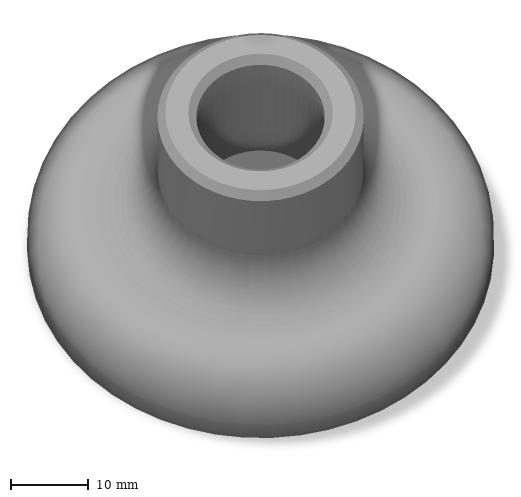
import cadquery as cq

base_diameter = 60.0
total_height = 30.0

base_height = 10.0
blend_radius = 7.0

hub_diameter = 26.5
bore_diameter = 16.5
bore_depth = total_height - base_height
edge_chamfer = 1.0

base_radius = base_diameter / 2
hub_radius = hub_diameter / 2
bore_radius = bore_diameter / 2


def make_body():
    """Revolve the flange, flare and hub as one solid about Z."""
    return (
        cq.Workplane("XZ")
        .lineTo(base_radius, 0)
        .lineTo(base_radius, base_height - blend_radius)
        .radiusArc((base_radius - blend_radius, base_height), -blend_radius)
        .lineTo(hub_radius + blend_radius, base_height)
        .radiusArc((hub_radius, base_height + blend_radius), blend_radius)
        .lineTo(hub_radius, total_height - edge_chamfer)
        .lineTo(hub_radius - edge_chamfer, total_height)
        .lineTo(0, total_height)
        .close()
        .revolve(360, (0, 0, 0), (0, 1, 0))
    )


def make_bore():
    """Revolve the blind bore with its chamfered mouth."""
    return (
        cq.Workplane("XZ")
        .moveTo(0, total_height - bore_depth)
        .lineTo(bore_radius, total_height - bore_depth)
        .lineTo(bore_radius, total_height - edge_chamfer)
        .lineTo(bore_radius + edge_chamfer, total_height)
        .lineTo(0, total_height)
        .close()
        .revolve(360, (0, 0, 0), (0, 1, 0))
    )


result = make_body().cut(make_bore())